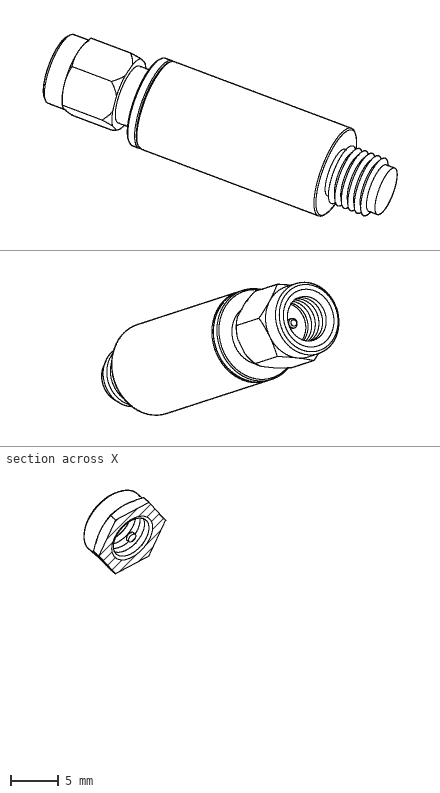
import cadquery as cq
import math

hex_start = 2.38
hex_end = 8.4
body_start = 10.6
seam_x = 11.7
body_end = 33.07
thread_start = 33.77
total_length = 39.0

body_radius = 5.0
body_chamfer = 0.15
seam_half_width = 0.135
seam_depth = 0.1
neck_radius = 3.25

across_flats = 7.85
flat_radius = across_flats / 2
corner_radius = flat_radius / math.cos(math.pi / 6)
nose_chamfer = 0.292
front_bevel_length = 0.35
back_bevel_length = 0.95
back_face_radius = 4.0

male_turns = 6
thread_length = 4.6
thread_pitch = thread_length / male_turns
half_pitch = thread_pitch / 2
male_crest_radius = 3.28
male_root_radius = 2.65
female_turns = 5
female_root_radius = 3.12
female_crest_diameter = 4.8
female_crest_radius = female_crest_diameter / 2

socket_depth = 4.68
pin_start = 3.12
pin_diameter = 1.05
pin_tip_chamfer = 0.175


def revolve_about_x(points):
    """Turn a closed (x, radius) outline about the X axis."""
    return cq.Workplane("XY").polyline(points).close().revolve(360, (0, 0, 0), (1, 0, 0))


def cylinder_along_x(start, end, radius):
    return cq.Workplane("YZ").workplane(offset=start).circle(radius).extrude(end - start)


def make_nut():
    nose = cylinder_along_x(0, hex_start, flat_radius).faces("<X").chamfer(nose_chamfer)
    hexagon = (
        cq.Workplane("YZ")
        .workplane(offset=hex_start)
        .polygon(6, 2 * corner_radius)
        .extrude(hex_end - hex_start)
    )
    envelope = revolve_about_x([
        (hex_start, 0),
        (hex_start, flat_radius),
        (hex_start + front_bevel_length, corner_radius),
        (hex_end - back_bevel_length, corner_radius),
        (hex_end, back_face_radius),
        (hex_end, 0),
    ])
    return nose.union(hexagon.intersect(envelope))


def make_barrel():
    neck = cylinder_along_x(hex_end, body_start, neck_radius)
    body = cylinder_along_x(body_start, body_end, body_radius).faces("<X or >X").chamfer(body_chamfer)
    seam = revolve_about_x([
        (seam_x - seam_half_width, body_radius),
        (seam_x, body_radius - seam_depth),
        (seam_x + seam_half_width, body_radius),
    ])
    return neck.union(body.cut(seam))


def make_male_thread():
    outline = [
        (body_end, 0),
        (body_end, male_root_radius),
        (thread_start, male_root_radius),
    ]
    for turn in range(male_turns):
        crest_x = thread_start + turn * thread_pitch
        outline.append((crest_x, male_crest_radius))
        outline.append((crest_x + half_pitch, male_root_radius))
    outline += [(total_length, male_root_radius), (total_length, 0)]
    return revolve_about_x(outline)


def make_socket():
    outline = [(0, 0), (0, female_root_radius), (half_pitch, female_crest_radius)]
    for turn in range(1, female_turns + 1):
        root_x = turn * thread_pitch
        outline.append((root_x, female_root_radius))
        outline.append((root_x + half_pitch, female_crest_radius))
    outline += [(socket_depth, female_crest_radius), (socket_depth, 0)]
    return revolve_about_x(outline)


def make_pin():
    return cylinder_along_x(pin_start, socket_depth, pin_diameter / 2).faces("<X").chamfer(pin_tip_chamfer)


result = (
    make_nut()
    .union(make_barrel())
    .union(make_male_thread())
    .cut(make_socket())
    .union(make_pin())
)